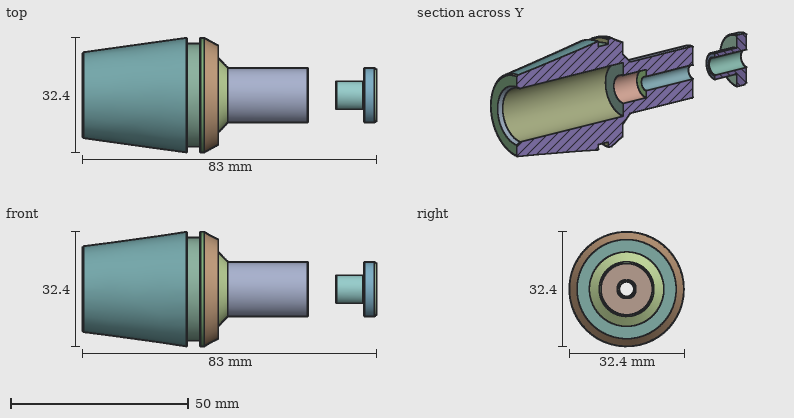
import cadquery as cq

TOTAL_LENGTH = 83.0

RIM_DIAMETER = 32.4
NOSE_DIAMETER = 24.3
NOSE_CHAMFER = 0.4
TAPER_END = 29.55
GROOVE_DIAMETER = 29.2
GROOVE_WIDTH = 3.5
GROOVE_EDGE_CHAMFER = 0.25
RIM_WIDTH = 1.25
BEVEL_LENGTH = 4.1
BEVEL_END_DIAMETER = 28.0
SHOULDER_DIAMETER = 21.0
SHOULDER_LENGTH = 2.65
SHANK_DIAMETER = 15.4
SHANK_END = 63.7
SHANK_CHAMFER = 0.25

BORE_DIAMETER = 15.8
BORE_MOUTH_DIAMETER = 17.3
BORE_MOUTH_DEPTH = 1.25
COUNTERBORE_DIAMETER = 8.2
COUNTERBORE_DEPTH = 8.3
THROUGH_DIAMETER = 4.1

STUD_START = 71.4
STUD_DIAMETER = 8.0
STUD_CHAMFER = 0.25
STUD_BORE_DIAMETER = 5.15
STUD_BORE_CHAMFER = 0.2
NECK_DIAMETER = 7.7
NECK_WIDTH = 0.3
HEAD_DIAMETER = 15.4
HEAD_LENGTH = 3.65
HEAD_FRONT_CHAMFER = 0.25
HEAD_BACK_CHAMFER_LENGTH = 0.75
HEAD_BACK_CHAMFER_DEPTH = 0.5


def revolve_profile(points):
    """Turn a closed (x, radius) profile about the X axis."""
    return cq.Workplane("XY").polyline(points).close().revolve(360, (0, 0, 0), (1, 0, 0))


def make_collet():
    """Tapered collet with a grooved rim, a plain shank and a stepped bore."""
    rim_start = TAPER_END + GROOVE_WIDTH
    rim_end = rim_start + RIM_WIDTH
    bevel_end = rim_end + BEVEL_LENGTH
    shoulder_end = bevel_end + SHOULDER_LENGTH
    bore_end = bevel_end
    counterbore_end = bore_end + COUNTERBORE_DEPTH

    outside = [
        (0, NOSE_DIAMETER / 2 - NOSE_CHAMFER),
        (NOSE_CHAMFER, NOSE_DIAMETER / 2),
        (TAPER_END - GROOVE_EDGE_CHAMFER, RIM_DIAMETER / 2),
        (TAPER_END, RIM_DIAMETER / 2 - GROOVE_EDGE_CHAMFER),
        (TAPER_END, GROOVE_DIAMETER / 2),
        (rim_start, GROOVE_DIAMETER / 2),
        (rim_start, RIM_DIAMETER / 2 - GROOVE_EDGE_CHAMFER),
        (rim_start + GROOVE_EDGE_CHAMFER, RIM_DIAMETER / 2),
        (rim_end, RIM_DIAMETER / 2),
        (bevel_end, BEVEL_END_DIAMETER / 2),
        (bevel_end, SHOULDER_DIAMETER / 2),
        (shoulder_end, SHANK_DIAMETER / 2),
        (SHANK_END - SHANK_CHAMFER, SHANK_DIAMETER / 2),
        (SHANK_END, SHANK_DIAMETER / 2 - SHANK_CHAMFER),
    ]
    inside = [
        (SHANK_END, THROUGH_DIAMETER / 2),
        (counterbore_end, THROUGH_DIAMETER / 2),
        (counterbore_end, COUNTERBORE_DIAMETER / 2),
        (bore_end, COUNTERBORE_DIAMETER / 2),
        (bore_end, BORE_DIAMETER / 2),
        (BORE_MOUTH_DEPTH, BORE_DIAMETER / 2),
        (0, BORE_MOUTH_DIAMETER / 2),
    ]
    return revolve_profile(outside + inside)


def make_stud():
    """Hollow stud with an undercut neck and a chamfered round head."""
    head_start = TOTAL_LENGTH - HEAD_LENGTH
    neck_start = head_start - NECK_WIDTH

    outside = [
        (STUD_START, STUD_DIAMETER / 2 - STUD_CHAMFER),
        (STUD_START + STUD_CHAMFER, STUD_DIAMETER / 2),
        (neck_start, STUD_DIAMETER / 2),
        (neck_start, NECK_DIAMETER / 2),
        (head_start, NECK_DIAMETER / 2),
        (head_start, HEAD_DIAMETER / 2 - HEAD_FRONT_CHAMFER),
        (head_start + HEAD_FRONT_CHAMFER, HEAD_DIAMETER / 2),
        (TOTAL_LENGTH - HEAD_BACK_CHAMFER_LENGTH, HEAD_DIAMETER / 2),
        (TOTAL_LENGTH, HEAD_DIAMETER / 2 - HEAD_BACK_CHAMFER_DEPTH),
    ]
    inside = [
        (TOTAL_LENGTH, STUD_BORE_DIAMETER / 2),
        (STUD_START + STUD_BORE_CHAMFER, STUD_BORE_DIAMETER / 2),
        (STUD_START, STUD_BORE_DIAMETER / 2 + STUD_BORE_CHAMFER),
    ]
    return revolve_profile(outside + inside)


collet = make_collet()
stud = make_stud()

result = cq.Compound.makeCompound([collet.val(), stud.val()])